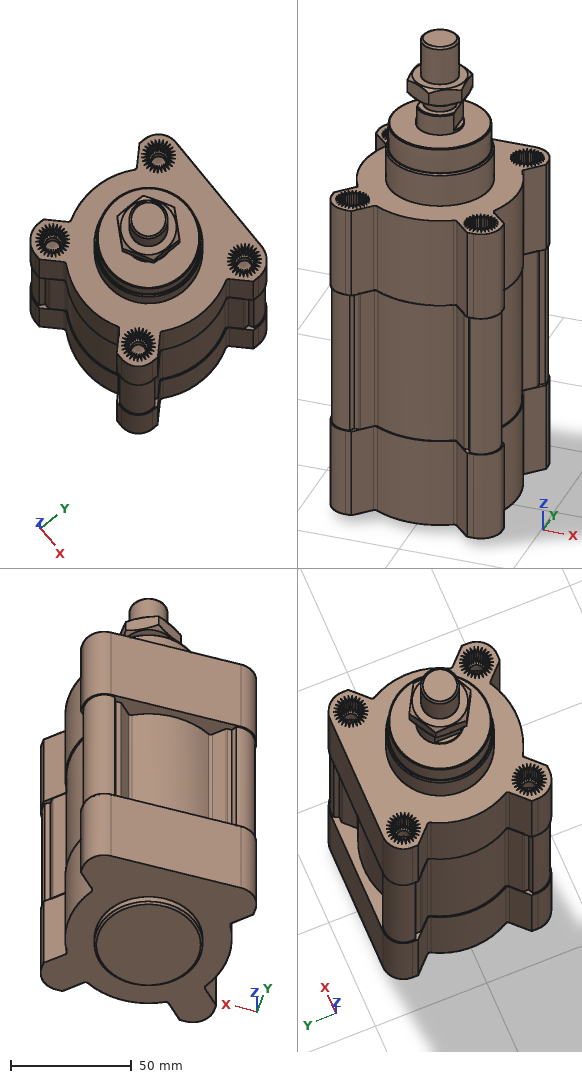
import cadquery as cq
import math

rear_collar_height = 4.0
barrel_bottom = 44.3
barrel_top = 109.7
cap_top = 150.5
front_collar_top = 165.8
band_top = 177.3
flats_bottom = 178.5
rod_shoulder = 186.7
neck_top = 189.3
thread_start = 192.0
nut_bottom = 192.4
nut_thickness = 8.0
rod_tip = 218.0

cap_width = 75.0
cap_body_diameter = 69.1
cap_lobe_width = 17.0
screw_spacing = 56.5
valley_fillet = 1.3

barrel_width = 74.0
barrel_body_diameter = 68.0
barrel_lobe_width = 16.5

step_start = 23.0
step_end = 25.3
lobe_arc_end = 26.4
step_fillet = 0.9

collar_diameter = 45.0
band_diameter = 42.7
band_bulge = 0.2
band_chamfer = 0.5
rear_collar_chamfer = 0.9
front_collar_chamfer = 0.7

socket_outer_diameter = 14.0
socket_inner_diameter = 8.0
socket_teeth = 26
socket_depth = 11.0
drill_diameter = 6.5
drill_depth = 6.5
drill_tip_angle = 118.0

rod_diameter = 20.0
rod_flats = 16.4
rod_chamfer = 0.5
neck_diameter = 14.0
thread_diameter = 16.0
tip_chamfer = 0.9

nut_across_flats = 24.0
nut_face_diameter = 23.1
nut_chamfer_angle = 30.0

screw_offset = screw_spacing / 2


def disc(diameter, bottom, top):
    return cq.Workplane("XY").workplane(offset=bottom).circle(diameter / 2).extrude(top - bottom)


def lobed_section(bottom, top, body_diameter, lobe_width, lobe_side, arc_end):
    """Round body with four corner lobes, each mirrored about its diagonal.

    lobe_side is one side of the +X+Y lobe, from its flank outwards to the rounded corner,
    which starts at arc_end and is concentric with the screw.
    """
    corner_radius = math.hypot(arc_end[0] - screw_offset, arc_end[1] - screw_offset)
    corner_middle = screw_offset + corner_radius / math.sqrt(2)
    flank_start = (lobe_width / math.sqrt(2), 0)
    lobe = (
        cq.Workplane("XY").workplane(offset=bottom)
        .polyline([flank_start, *lobe_side, arc_end])
        .threePointArc((corner_middle, corner_middle), arc_end[::-1])
    )
    for x, y in reversed([flank_start, *lobe_side]):
        lobe = lobe.lineTo(y, x)
    lobe = lobe.lineTo(0, 0).close().extrude(top - bottom)

    body = disc(body_diameter, bottom, top)
    for turn in range(4):
        body = body.union(lobe.rotate((0, 0, 0), (0, 0, 1), 90 * turn))

    half_width = lobe_width / 2
    along = math.sqrt((body_diameter / 2) ** 2 - half_width**2)
    valley = ((along + half_width) / math.sqrt(2), (along - half_width) / math.sqrt(2))
    return fillet_upright_edges(body, valley, (bottom + top) / 2, valley_fillet)


def fillet_upright_edges(body, corner, height, radius):
    """Round the eight upright edges that are symmetric copies of the one at corner."""
    for x, y in (corner, corner[::-1]):
        for point in ((x, y), (-x, y), (x, -y), (-x, -y)):
            nearest = cq.selectors.NearestToPointSelector((*point, height))
            body = body.edges(nearest).fillet(radius)
    return body


def cap(bottom, top):
    """End cap with plain lobes, filled out flat on its +Y side."""
    outer = cap_width / 2
    flank_end = (outer, outer - cap_lobe_width / math.sqrt(2))
    flat_side = (
        cq.Workplane("XY").workplane(offset=bottom)
        .center(0, outer / 2).rect(screw_spacing, outer).extrude(top - bottom)
    )
    lobed = lobed_section(
        bottom, top, cap_body_diameter, cap_lobe_width, [flank_end], (outer, screw_offset)
    )
    return lobed.union(flat_side)


def barrel():
    """Middle section, whose lobe flanks step inwards before the rounded corner."""
    step_face = step_start + barrel_lobe_width / math.sqrt(2)
    flank_end = (step_face, step_start)
    corner_radius = barrel_width / 2 - screw_offset
    arc_end_x = screw_offset + math.sqrt(corner_radius**2 - (screw_offset - lobe_arc_end) ** 2)
    lobed = lobed_section(
        barrel_bottom, barrel_top, barrel_body_diameter, barrel_lobe_width,
        [flank_end, (step_face, step_end)], (arc_end_x, lobe_arc_end),
    )
    return fillet_upright_edges(lobed, flank_end, (barrel_bottom + barrel_top) / 2, step_fillet)


def front_band():
    """Slightly barrel-shaped ring on top of the front collar."""
    radius = band_diameter / 2
    bulge_point = (radius + band_bulge, (front_collar_top + band_top) / 2)
    return (
        cq.Workplane("XZ")
        .moveTo(0, front_collar_top).lineTo(radius, front_collar_top)
        .threePointArc(bulge_point, (radius, band_top - band_chamfer))
        .lineTo(radius - band_chamfer, band_top).lineTo(0, band_top)
        .close().revolve(360, (0, 0), (0, 1))
    )


def screw_socket():
    """Star-shaped serrated recess with a drilled hole below it, on the Z axis."""
    star_points = []
    for i in range(2 * socket_teeth):
        radius = (socket_outer_diameter if i % 2 == 0 else socket_inner_diameter) / 2
        angle = math.pi * i / socket_teeth
        star_points.append((radius * math.cos(angle), radius * math.sin(angle)))
    star = cq.Workplane("XY").workplane(offset=cap_top - socket_depth).polyline(star_points).close()
    star = star.extrude(socket_depth)
    drill_bottom = cap_top - socket_depth - drill_depth
    tip_height = drill_diameter / 2 / math.tan(math.radians(drill_tip_angle / 2))
    drill = (
        cq.Workplane("XZ").moveTo(0, cap_top).lineTo(drill_diameter / 2, cap_top)
        .lineTo(drill_diameter / 2, drill_bottom).lineTo(0, drill_bottom - tip_height)
        .close().revolve(360, (0, 0), (0, 1))
    )
    return star.union(drill)


def make_housing():
    """Barrel between two end caps, with a collar at each end and four screw sockets in front."""
    housing = barrel().union(cap(rear_collar_height, barrel_bottom)).union(cap(barrel_top, cap_top))
    rear_collar = disc(collar_diameter, 0, rear_collar_height)
    rear_collar = rear_collar.faces("<Z").chamfer(rear_collar_chamfer)
    front_collar = disc(collar_diameter, cap_top, front_collar_top)
    front_collar = front_collar.faces(">Z").chamfer(front_collar_chamfer)
    housing = housing.union(rear_collar).union(front_collar).union(front_band())
    socket = screw_socket()
    for x in (-screw_offset, screw_offset):
        for y in (-screw_offset, screw_offset):
            housing = housing.cut(socket.translate((x, y, 0)))
    return housing.cut(disc(rod_diameter, cap_top, band_top))


def make_rod():
    """Piston rod with two wrench flats, a neck and a plain cylinder for the threaded end."""
    radius = rod_diameter / 2
    thread = thread_diameter / 2
    neck = neck_diameter / 2
    rod = (
        cq.Workplane("XZ").moveTo(0, cap_top).lineTo(radius, cap_top)
        .lineTo(radius, rod_shoulder - rod_chamfer).lineTo(radius - rod_chamfer, rod_shoulder)
        .lineTo(neck, rod_shoulder).lineTo(neck, neck_top).lineTo(thread, thread_start)
        .lineTo(thread, rod_tip - tip_chamfer).lineTo(thread - tip_chamfer, rod_tip)
        .lineTo(0, rod_tip).close().revolve(360, (0, 0), (0, 1))
    )
    flat_cut = (
        cq.Workplane("XY").workplane(offset=flats_bottom)
        .rect(rod_diameter, rod_diameter).extrude(rod_shoulder - flats_bottom)
    )
    for side in (-1, 1):
        rod = rod.cut(flat_cut.translate((side * (rod_flats + rod_diameter) / 2, 0, 0)))
    return rod


def make_nut():
    """Hexagon nut with flats facing +X and -X and its corners chamfered at both ends."""
    corner_radius = nut_across_flats / math.sqrt(3)
    face_radius = nut_face_diameter / 2
    drop = (corner_radius - face_radius) * math.tan(math.radians(nut_chamfer_angle))
    nut_top = nut_bottom + nut_thickness
    nut = (
        cq.Workplane("XY").workplane(offset=nut_bottom)
        .polygon(6, 2 * corner_radius).extrude(nut_thickness).rotate((0, 0, 0), (0, 0, 1), 90)
    )
    chamfered_blank = (
        cq.Workplane("XZ").moveTo(0, nut_bottom).lineTo(face_radius, nut_bottom)
        .lineTo(corner_radius, nut_bottom + drop).lineTo(corner_radius, nut_top - drop)
        .lineTo(face_radius, nut_top).lineTo(0, nut_top).close().revolve(360, (0, 0), (0, 1))
    )
    return nut.intersect(chamfered_blank).cut(disc(thread_diameter, nut_bottom, nut_top))


housing = make_housing()
rod = make_rod()
nut = make_nut()
result = cq.Compound.makeCompound([housing.val(), rod.val(), nut.val()])